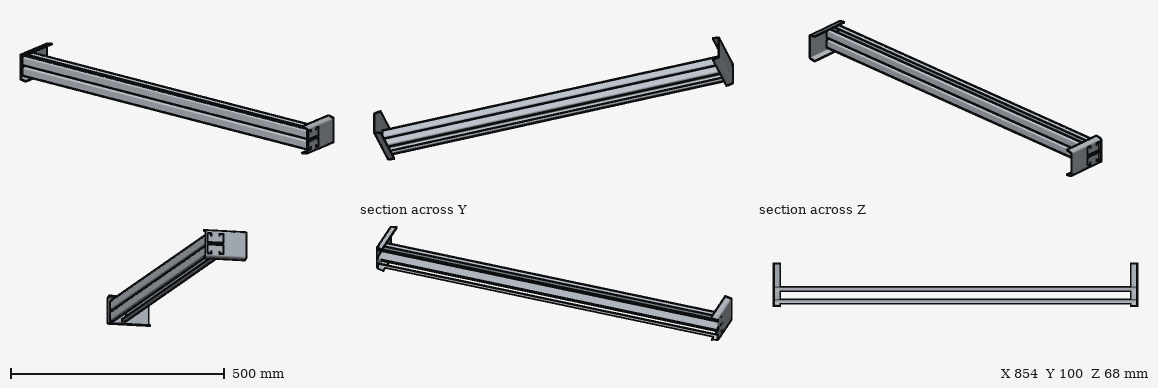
import cadquery as cq
import math

overall_length = 854.0
sheet_thickness = 2.5

bracket_depth = 100.0
bracket_height = 68.0
flange_reach = 17.0
flange_flare_angle = 10.0
bracket_bend_radius = 5.0

rail_width = 41.0
rail_height = 23.4
rail_wall = 2.0
rail_bend_radius = 4.0
lip_bend_radius = 3.0
rail_slot_width = 18.0
rail_lip_depth = 6.0
rail_gap = 2.6
rail_front_margin = 4.5

rail_length = overall_length - 2 * sheet_thickness
rail_center_y = -bracket_depth / 2 + rail_front_margin + rail_width / 2


def make_bracket(side):
    """End bracket on the -X (side = -1) or +X (side = 1) end of the rails."""
    flare = math.radians(flange_flare_angle)
    slope = math.tan(flare)
    normal_x = sheet_thickness * math.sin(flare)
    normal_z = sheet_thickness * math.cos(flare)
    sheet_rise = sheet_thickness / math.cos(flare)

    tip_top_x = flange_reach - normal_x
    tip_top_z = bracket_height / 2
    corner_outer_z = tip_top_z - tip_top_x * slope
    corner_inner_z = corner_outer_z + sheet_thickness * slope - sheet_rise
    half_outline = [
        (0, 0),
        (0, corner_outer_z),
        (tip_top_x, tip_top_z),
        (flange_reach, tip_top_z - normal_z),
        (sheet_thickness, corner_inner_z),
        (sheet_thickness, 0),
    ]
    half = cq.Workplane("XZ").polyline(half_outline).close().extrude(bracket_depth / 2, both=True)
    half = round_bracket(half, 0, corner_outer_z, bracket_bend_radius)
    half = round_bracket(half, sheet_thickness, corner_inner_z, bracket_bend_radius - sheet_thickness)
    bracket = half.union(half.mirror("XY")).clean()
    bracket = bracket.translate((-overall_length / 2, 0, 0))
    return bracket if side < 0 else bracket.mirror("YZ")


def round_bracket(body, x, z, radius):
    """Round the Y-direction edge that passes through (x, z)."""
    corner = cq.selectors.NearestToPointSelector((x, 0, z))
    return body.edges("|Y").edges(corner).fillet(radius)


def make_rail(side):
    """Rail above (side = 1) or below (side = -1) the mid plane, with its slot facing outward."""
    half_width = rail_width / 2
    half_slot = rail_slot_width / 2
    lip_z = rail_height - rail_lip_depth
    lip_outer = half_slot + rail_wall
    right_outline = [
        (half_width, 0),
        (half_width, rail_height),
        (half_slot, rail_height),
        (half_slot, lip_z),
        (lip_outer, lip_z),
        (lip_outer, rail_height - rail_wall),
        (half_width - rail_wall, rail_height - rail_wall),
        (half_width - rail_wall, rail_wall),
    ]
    left_outline = [(-y, z) for y, z in reversed(right_outline)]
    rail = cq.Workplane("YZ").polyline(right_outline + left_outline).close()
    rail = rail.extrude(rail_length / 2, both=True)

    inner_width = half_width - rail_wall
    inner_top = rail_height - rail_wall
    bends = [
        ((half_width, 0), (inner_width, rail_wall), rail_bend_radius),
        ((half_width, rail_height), (inner_width, inner_top), rail_bend_radius),
        ((half_slot, rail_height), (lip_outer, inner_top), lip_bend_radius),
    ]
    for mirror_sign in (1, -1):
        for (outer_y, outer_z), (inner_y, inner_z), radius in bends:
            rail = round_rail(rail, mirror_sign * outer_y, outer_z, radius)
            rail = round_rail(rail, mirror_sign * inner_y, inner_z, radius - rail_wall)

    rail = rail.translate((0, rail_center_y, rail_gap / 2))
    return rail if side > 0 else rail.mirror("XY")


def round_rail(rail, y, z, radius):
    """Round the X-direction edge that passes through (y, z)."""
    corner = cq.selectors.NearestToPointSelector((0, y, z))
    return rail.edges("|X").edges(corner).fillet(radius)


brackets = [make_bracket(side) for side in (-1, 1)]
rails = [make_rail(side) for side in (1, -1)]

result = cq.Compound.makeCompound([body.val() for body in brackets + rails])